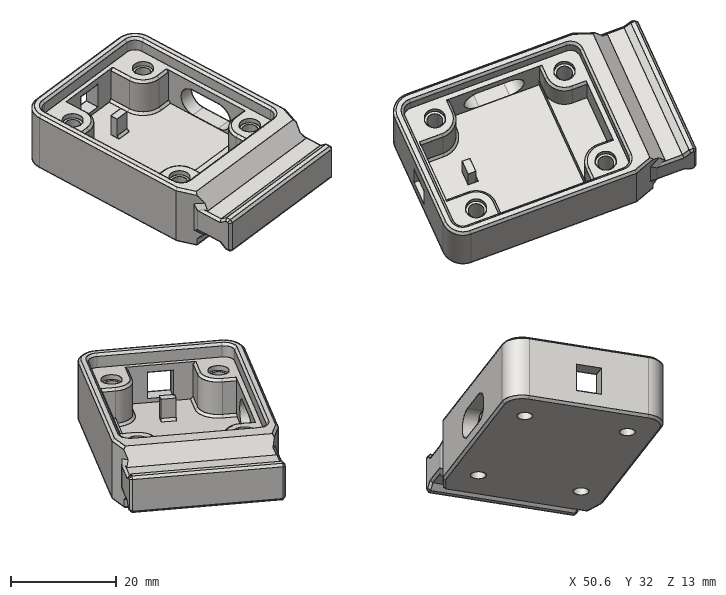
import cadquery as cq

LENGTH = 50.65
WIDTH = 32.0
HEIGHT = 13.0
CHAMFER = 0.5

CORNER_RADIUS = 4.05
TAPER_START_X = 37.9
CASE_END_X = 41.9
TAPER_SLOPE = 0.38
END_SLOPE_TOP_X = 41.4
END_FOOT_HEIGHT = 2.0

GRIP_WIDTH = 30.05
GRIP_MID_Z = 7.15
NECK_THICKNESS = 5.65
LIP_THICKNESS = 7.7
LIP_SLOPE_START_X = 47.85
LIP_SLOPE_END_X = 49.25

COLLAR_START_X = 38.5
GRIP_START_X = 42.45
FLARE_SLOPE = 0.25
COLLAR_BEVEL_NORMAL = (0.14, 0.85, 0.5)

RIM_WIDTH = 2.0
RECESS_END_X = 37.9
RECESS_RADIUS = 2.05
LEDGE_Z = 10.2

POCKET_START_X = 2.9
POCKET_END_X = 36.9
POCKET_HALF_WIDTH = 13.0
FLOOR_Z = 2.35
RAISED_FLOOR_Z = 4.0
RAISED_FLOOR_X = 29.9
RAISED_FLOOR_Y = -10.3

PAD_X_LEFT = 7.45
PAD_X_RIGHT = 33.95
PAD_Y = 10.3
PAD_RADIUS = 4.0
SCREW_DIAMETER = 3.0
COUNTERBORE_DIAMETER = 4.0
COUNTERBORE_DEPTH = 1.0
WALL_OVERLAP = 1.0

WINDOW_WIDTH = 4.95
WINDOW_BOTTOM_Z = 3.2
WINDOW_TOP_Z = 8.7
STOP_START_X = 9.4
STOP_LENGTH = 1.55
STOP_WIDTH = 2.95
STOP_TOP_Z = 6.9

PORT_LENGTH = 12.25
PORT_HEIGHT = 6.0
PORT_BOTTOM_Z = 2.45

half_width = WIDTH / 2
half_grip = GRIP_WIDTH / 2
neck_top = GRIP_MID_Z + NECK_THICKNESS / 2
neck_bottom = GRIP_MID_Z - NECK_THICKNESS / 2
lip_top = GRIP_MID_Z + LIP_THICKNESS / 2
lip_bottom = GRIP_MID_Z - LIP_THICKNESS / 2
upper_slope_end_x = END_SLOPE_TOP_X + HEIGHT - neck_top
lower_slope_end_x = CASE_END_X + neck_bottom - END_FOOT_HEIGHT
pad_centers = [(x, y) for x in (PAD_X_LEFT, PAD_X_RIGHT) for y in (PAD_Y, -PAD_Y)]


def box(x0, x1, y0, y1, z0, z1):
    return cq.Workplane("XY").box(x1 - x0, y1 - y0, z1 - z0, centered=False).translate((x0, y0, z0))


def side_extrude(points, width):
    """Extrude an XZ outline symmetrically about the XZ plane."""
    return cq.Workplane("XZ").polyline(points).close().extrude(width / 2, both=True)


def make_end_profile():
    """Slab whose +X end slopes at 45 degrees down and up to the neck."""
    return side_extrude(
        [
            (0, 0),
            (CASE_END_X - CHAMFER, 0),
            (CASE_END_X, CHAMFER),
            (CASE_END_X, END_FOOT_HEIGHT),
            (lower_slope_end_x, neck_bottom),
            (upper_slope_end_x, neck_top),
            (END_SLOPE_TOP_X, HEIGHT),
            (0, HEIGHT),
        ],
        WIDTH,
    )


def make_case():
    taper_end_half = half_width - TAPER_SLOPE * (upper_slope_end_x - TAPER_START_X)
    blank = (
        cq.Workplane("XY")
        .polyline(
            [
                (0, -half_width),
                (TAPER_START_X, -half_width),
                (upper_slope_end_x, -taper_end_half),
                (upper_slope_end_x, taper_end_half),
                (TAPER_START_X, half_width),
                (0, half_width),
            ]
        )
        .close()
        .extrude(HEIGHT)
        .edges("|Z and <X")
        .fillet(CORNER_RADIUS)
        .faces("<Z or >Z")
        .chamfer(CHAMFER)
    )
    return blank.intersect(make_end_profile())


def make_collar():
    """Bevelled transition that narrows from the grip bar back into the case."""
    start_half = half_grip - FLARE_SLOPE * (GRIP_START_X - COLLAR_START_X)
    plan = (
        cq.Workplane("XY")
        .polyline(
            [
                (COLLAR_START_X, -start_half),
                (GRIP_START_X, -half_grip),
                (upper_slope_end_x, -half_grip),
                (upper_slope_end_x, half_grip),
                (GRIP_START_X, half_grip),
                (COLLAR_START_X, start_half),
            ]
        )
        .close()
        .extrude(HEIGHT)
    )
    collar = plan.intersect(make_end_profile())
    bevel_rise = NECK_THICKNESS / 2 - CHAMFER
    nx, ny, nz = COLLAR_BEVEL_NORMAL
    for y_sign in (1, -1):
        for z_sign in (1, -1):
            corner = (GRIP_START_X, y_sign * half_grip, GRIP_MID_Z + z_sign * bevel_rise)
            outward = (nx, y_sign * ny, z_sign * nz)
            bevel = cq.Workplane(cq.Plane(origin=corner, normal=outward))
            collar = collar.cut(bevel.rect(2 * LENGTH, 2 * LENGTH).extrude(LENGTH))
    return collar


def make_grip():
    return (
        side_extrude(
            [
                (GRIP_START_X, neck_bottom),
                (LIP_SLOPE_START_X, neck_bottom),
                (LIP_SLOPE_END_X, lip_bottom),
                (LENGTH - CHAMFER, lip_bottom),
                (LENGTH, lip_bottom + CHAMFER),
                (LENGTH, lip_top - CHAMFER),
                (LENGTH - CHAMFER, lip_top),
                (LIP_SLOPE_END_X, lip_top),
                (LIP_SLOPE_START_X, neck_top),
                (GRIP_START_X, neck_top),
            ],
            GRIP_WIDTH,
        )
        .faces("<Y or >Y")
        .edges("not <X")
        .chamfer(CHAMFER)
    )


def make_recess():
    recess_length = RECESS_END_X - RIM_WIDTH
    return (
        cq.Workplane("XY", origin=(RIM_WIDTH + recess_length / 2, 0, LEDGE_Z))
        .rect(recess_length, WIDTH - 2 * RIM_WIDTH)
        .extrude(HEIGHT - LEDGE_Z)
        .edges("|Z")
        .fillet(RECESS_RADIUS)
    )


def make_rim_bevel():
    """Widening of the recess mouth."""
    mouth_start = RIM_WIDTH - CHAMFER
    mouth_length = RECESS_END_X + CHAMFER - mouth_start
    mouth = (
        cq.Sketch()
        .rect(mouth_length, WIDTH - 2 * mouth_start)
        .vertices()
        .fillet(RECESS_RADIUS + CHAMFER)
    )
    return (
        cq.Workplane("XY", origin=(mouth_start + mouth_length / 2, 0, HEIGHT))
        .placeSketch(mouth)
        .extrude(-CHAMFER, taper=45)
    )


def rounded_block(x, y, reach, bottom, top):
    """Bevelled block from the pocket walls to the screw axis plus reach, round about that axis."""
    if x < RAISED_FLOOR_X:
        x_side, x_wall = 1, POCKET_START_X - WALL_OVERLAP
    else:
        x_side, x_wall = -1, POCKET_END_X + WALL_OVERLAP
    y_side = -1 if y > 0 else 1
    y_wall = -y_side * (POCKET_HALF_WIDTH + WALL_OVERLAP)
    x_tip = x + x_side * reach
    y_tip = y + y_side * reach
    x0, x1 = sorted((x_wall, x_tip))
    y0, y1 = sorted((y_wall, y_tip))
    block = box(x0, x1, y0, y1, bottom, top)
    inner_edge = cq.selectors.NearestToPointSelector((x_tip, y_tip, (bottom + top) / 2))
    return block.edges("|Z").edges(inner_edge).fillet(reach).faces(">Z").chamfer(CHAMFER)


def make_pocket():
    """Pocket with its raised floor strips and the screw pads left standing."""
    y_end = POCKET_HALF_WIDTH
    pocket = box(POCKET_START_X, POCKET_END_X, -y_end, y_end, FLOOR_Z, LEDGE_Z)
    pocket = pocket.cut(box(RAISED_FLOOR_X, POCKET_END_X, -y_end, y_end, FLOOR_Z, RAISED_FLOOR_Z))
    pocket = pocket.cut(box(PAD_X_LEFT, POCKET_END_X, -y_end, RAISED_FLOOR_Y, FLOOR_Z, RAISED_FLOOR_Z))
    for x, y in pad_centers:
        pocket = pocket.cut(rounded_block(x, y, PAD_RADIUS, FLOOR_Z, LEDGE_Z))
        if x < RAISED_FLOOR_X:
            foot = rounded_block(x, y, PAD_RADIUS + CHAMFER, FLOOR_Z - CHAMFER, FLOOR_Z + CHAMFER)
            pocket = pocket.cut(foot)
    return pocket


def make_screw_holes():
    through = cq.Workplane("XY").pushPoints(pad_centers).circle(SCREW_DIAMETER / 2).extrude(LEDGE_Z)
    counterbores = (
        cq.Workplane("XY", origin=(0, 0, LEDGE_Z))
        .pushPoints(pad_centers)
        .circle(COUNTERBORE_DIAMETER / 2)
        .extrude(-COUNTERBORE_DEPTH)
    )
    return through.union(counterbores)


def make_window():
    half_window = WINDOW_WIDTH / 2
    return box(0, POCKET_START_X, -half_window, half_window, WINDOW_BOTTOM_Z, WINDOW_TOP_Z)


def make_stop():
    """Stop block with a bevelled foot on its +X side."""
    end_x = STOP_START_X + STOP_LENGTH
    return side_extrude(
        [
            (STOP_START_X, FLOOR_Z),
            (end_x + CHAMFER, FLOOR_Z),
            (end_x, FLOOR_Z + CHAMFER),
            (end_x, STOP_TOP_Z),
            (STOP_START_X, STOP_TOP_Z),
        ],
        STOP_WIDTH,
    )


def make_port():
    port_x = (PAD_X_LEFT + PAD_X_RIGHT) / 2
    port_z = PORT_BOTTOM_Z + PORT_HEIGHT / 2
    return (
        cq.Workplane("XZ", origin=(port_x, half_width, port_z))
        .slot2D(PORT_LENGTH, PORT_HEIGHT)
        .extrude(half_width - POCKET_HALF_WIDTH)
    )


cavities = [
    make_recess(),
    make_rim_bevel(),
    make_pocket(),
    make_screw_holes(),
    make_window(),
    make_port(),
]
body = make_case().union(make_collar()).union(make_grip())
for cavity in cavities:
    body = body.cut(cavity)
result = body.union(make_stop())